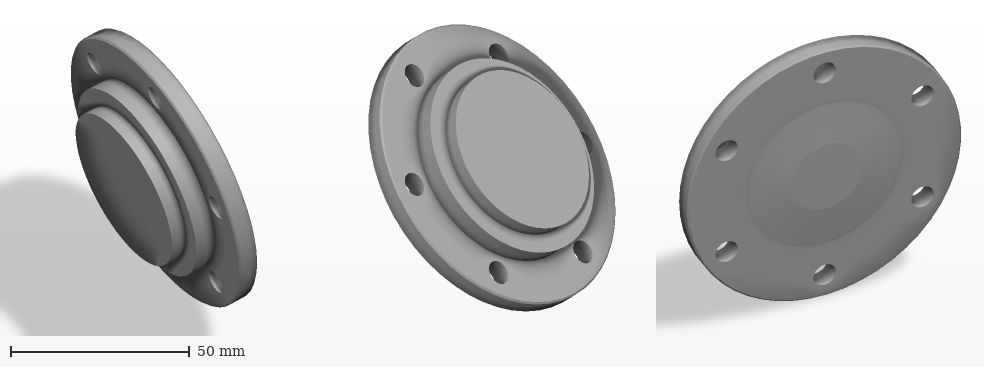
import cadquery as cq

flange_diameter = 85.0
flange_thickness = 6.0
flange_chamfer = 0.5
spigot_diameter = 59.0
spigot_length = 6.0
nose_diameter = 48.0
nose_length = 4.5
cone_base_diameter = 48.0
cone_top_diameter = 22.0
cone_height = 1.45
bolt_hole_diameter = 7.0
bolt_circle_diameter = 70.0
bolt_count = 6

flange_radius = flange_diameter / 2
spigot_radius = spigot_diameter / 2
nose_radius = nose_diameter / 2
cone_base_radius = cone_base_diameter / 2
cone_top_radius = cone_top_diameter / 2
flange_front = -flange_thickness
spigot_front = flange_front - spigot_length
nose_front = spigot_front - nose_length


def make_body():
    """Revolve the half section of the nose, spigot, flange and shallow rear cone about Y."""
    half_section = (
        cq.Workplane("XY")
        .moveTo(0, nose_front)
        .lineTo(nose_radius, nose_front)
        .lineTo(nose_radius, spigot_front)
        .lineTo(spigot_radius, spigot_front)
        .lineTo(spigot_radius, flange_front)
        .lineTo(flange_radius - flange_chamfer, flange_front)
        .lineTo(flange_radius, flange_front + flange_chamfer)
        .lineTo(flange_radius, -flange_chamfer)
        .lineTo(flange_radius - flange_chamfer, 0)
        .lineTo(cone_base_radius, 0)
        .lineTo(cone_top_radius, cone_height)
        .lineTo(0, cone_height)
        .close()
    )
    return half_section.revolve(360, (0, 0, 0), (0, 1, 0))


def make_bolt_holes():
    """Cylinders through the flange, the first one directly above the axis."""
    return (
        cq.Workplane("XZ")
        .polarArray(bolt_circle_diameter / 2, 90, 360, bolt_count)
        .circle(bolt_hole_diameter / 2)
        .extrude(flange_thickness)
    )


result = make_body().cut(make_bolt_holes())